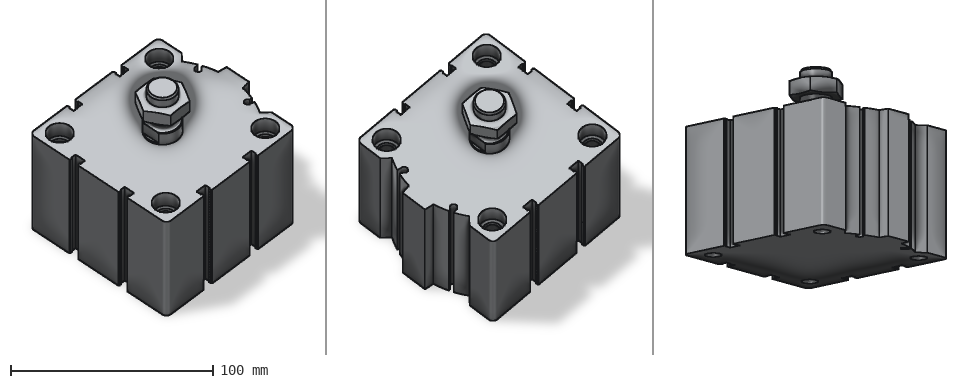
import cadquery as cq
import math

SIDE = 93.0
HALF = SIDE / 2
OVERALL_HEIGHT = 95.0
HOUSING_HEIGHT = 65.0
CORNER_RADIUS = 3.0
OVERALL_Y = 101.0

BULGE_RADIUS = 49.9
NOTCH_START_X = 30.5
TAB_TOP_WIDTH = 15.3
TAB_BASE_WIDTH = 16.8
TAB_TOP_Y = OVERALL_Y - HALF

SLOT_OFFSET = 16.7
SLOT_OPENING = 5.3
SLOT_WIDTH = 6.4
SLOT_DEPTH = 4.7
SLOT_EDGE_CHAMFER = 0.45
SLOT_LIP = 1.8
KEYHOLE_DIAMETER = 3.8
KEYHOLE_X = 16.9
KEYHOLE_Y = 43.6
KEYHOLE_NECK_WIDTH = 2.6
KEYHOLE_NECK_LENGTH = 8.1
KEYHOLE_TILT = 10.0

HOLE_PITCH = 72.0
HOLE_DIAMETER = 8.4
HOLE_CHAMFER = 0.8
COUNTERBORE_DIAMETER = 14.0
COUNTERBORE_DEPTH = 9.0

ROD_DIAMETER = 20.0
ROD_HEIGHT = 8.0
ROD_CHAMFER = 0.4
FLAT_WIDTH = 17.0
FLAT_BOTTOM = 1.0
NECK_DIAMETER = 13.9
NECK_BASE_FILLET = 0.7
NECK_TOP = 10.2
STUD_DIAMETER = 16.0
STUD_BOTTOM = 12.8
STUD_TOP = OVERALL_HEIGHT - HOUSING_HEIGHT
STUD_TOP_DIAMETER = 14.3
STUD_CHAMFER_HEIGHT = 1.2

NUT_WIDTH = 24.0
NUT_HEIGHT = 8.0
NUT_BOTTOM = 16.0
NUT_CHAMFER_ANGLE = 15.0
HALF_HEX_ANGLE = 30.0


def mirrored_in_x(shape):
    return shape.union(shape.mirror("YZ"))


def make_outline():
    """Square block with a rounded bulge and a tapered tab on its +Y side."""
    block = cq.Workplane("XY").rect(SIDE, SIDE).extrude(HOUSING_HEIGHT)
    block = block.edges("|Z").fillet(CORNER_RADIUS)

    half_sum = (NOTCH_START_X + HALF) / 2
    half_difference = (HALF - NOTCH_START_X) / 2
    along = math.sqrt(BULGE_RADIUS ** 2 / 2 - half_difference ** 2)
    notch_depth = half_sum - along
    notch_x = NOTCH_START_X - notch_depth
    notch_y = HALF - notch_depth

    clearance = (
        cq.Workplane("XY")
        .moveTo(-NOTCH_START_X, HALF)
        .lineTo(-notch_x, notch_y)
        .lineTo(notch_x, notch_y)
        .lineTo(NOTCH_START_X, HALF)
        .close()
        .extrude(HOUSING_HEIGHT)
    )
    bulge = (
        cq.Workplane("XY")
        .moveTo(-notch_x, notch_y)
        .threePointArc((0, BULGE_RADIUS), (notch_x, notch_y))
        .close()
        .extrude(HOUSING_HEIGHT)
    )
    tab_base_y = math.sqrt(BULGE_RADIUS ** 2 - (TAB_BASE_WIDTH / 2) ** 2)
    tab = (
        cq.Workplane("XY")
        .polyline([
            (-TAB_BASE_WIDTH / 2, tab_base_y),
            (-TAB_TOP_WIDTH / 2, TAB_TOP_Y),
            (TAB_TOP_WIDTH / 2, TAB_TOP_Y),
            (TAB_BASE_WIDTH / 2, tab_base_y),
        ])
        .close()
        .extrude(HOUSING_HEIGHT)
    )
    return block.cut(clearance).union(bulge).union(tab)


def make_t_slots():
    """Pair of T-slots along the -Y side."""
    opening = cq.Workplane("XY").box(
        SLOT_OPENING, SLOT_DEPTH, HOUSING_HEIGHT, centered=(True, False, False)
    )
    pocket = (
        cq.Workplane("XY")
        .box(SLOT_WIDTH, SLOT_DEPTH - SLOT_LIP, HOUSING_HEIGHT, centered=(True, False, False))
        .translate((0, SLOT_LIP, 0))
    )
    mouth_half = SLOT_OPENING / 2
    mouth = (
        cq.Workplane("XY")
        .polyline([
            (-mouth_half - SLOT_EDGE_CHAMFER, 0),
            (mouth_half + SLOT_EDGE_CHAMFER, 0),
            (mouth_half, SLOT_EDGE_CHAMFER),
            (-mouth_half, SLOT_EDGE_CHAMFER),
        ])
        .close()
        .extrude(HOUSING_HEIGHT)
    )
    slot = opening.union(pocket).union(mouth).translate((-SLOT_OFFSET, -HALF, 0))
    return mirrored_in_x(slot)


def make_keyhole_grooves():
    """Pair of round grooves in the bulge, each with a leaning neck tangent to its outer side."""
    radius = KEYHOLE_DIAMETER / 2
    round_groove = cq.Workplane("XY").circle(radius).extrude(HOUSING_HEIGHT)
    neck = (
        cq.Workplane("XY")
        .box(KEYHOLE_NECK_WIDTH, KEYHOLE_NECK_LENGTH, HOUSING_HEIGHT, centered=False)
        .translate((-radius, 0, 0))
        .rotate((0, 0, 0), (0, 0, 1), KEYHOLE_TILT)
    )
    groove = round_groove.union(neck).translate((-KEYHOLE_X, KEYHOLE_Y, 0))
    return mirrored_in_x(groove)


def make_mounting_holes():
    """Four through holes, each counterbored from the top with a chamfered mouth."""
    floor_z = HOUSING_HEIGHT - COUNTERBORE_DEPTH
    radius = HOLE_DIAMETER / 2
    bore_radius = COUNTERBORE_DIAMETER / 2
    profile = (
        cq.Workplane("XZ")
        .polyline([
            (0, 0),
            (radius, 0),
            (radius, floor_z - HOLE_CHAMFER),
            (radius + HOLE_CHAMFER, floor_z),
            (bore_radius, floor_z),
            (bore_radius, HOUSING_HEIGHT),
            (0, HOUSING_HEIGHT),
        ])
        .close()
    )
    hole = profile.revolve(360, (0, 0, 0), (0, 1, 0)).val()
    return (
        cq.Workplane("XY")
        .rect(HOLE_PITCH, HOLE_PITCH, forConstruction=True)
        .vertices()
        .eachpoint(lambda place: hole.moved(place), combine=True)
    )


def make_housing():
    body = make_outline()
    slots = make_t_slots()
    for turn in (-90, 0, 90):
        body = body.cut(slots.rotate((0, 0, 0), (0, 0, 1), turn))
    body = body.cut(make_keyhole_grooves())
    return body.cut(make_mounting_holes())


def make_rod():
    """Piston rod end with a necked stud, standing on the housing top face."""
    rod_radius = ROD_DIAMETER / 2
    neck_radius = NECK_DIAMETER / 2
    stud_radius = STUD_DIAMETER / 2

    profile = (
        cq.Workplane("XZ")
        .lineTo(rod_radius, 0)
        .lineTo(rod_radius, ROD_HEIGHT - ROD_CHAMFER)
        .lineTo(rod_radius - ROD_CHAMFER, ROD_HEIGHT)
        .lineTo(neck_radius + NECK_BASE_FILLET, ROD_HEIGHT)
        .radiusArc((neck_radius, ROD_HEIGHT + NECK_BASE_FILLET), NECK_BASE_FILLET)
        .lineTo(neck_radius, NECK_TOP)
        .lineTo(stud_radius, STUD_BOTTOM)
        .lineTo(stud_radius, STUD_TOP - STUD_CHAMFER_HEIGHT)
        .lineTo(STUD_TOP_DIAMETER / 2, STUD_TOP)
        .lineTo(0, STUD_TOP)
        .close()
    )
    rod = profile.revolve(360, (0, 0, 0), (0, 1, 0))

    flat_height = ROD_HEIGHT - FLAT_BOTTOM
    flat_band = (
        cq.Workplane("XY", origin=(0, 0, FLAT_BOTTOM))
        .rect(ROD_DIAMETER, ROD_DIAMETER)
        .rect(ROD_DIAMETER, FLAT_WIDTH)
        .extrude(flat_height)
    )
    return rod.cut(flat_band).translate((0, 0, HOUSING_HEIGHT))


def make_nut():
    """Hexagon nut with corners pointing to -Y and +Y, chamfered at both ends."""
    across_corners = NUT_WIDTH / math.cos(math.radians(HALF_HEX_ANGLE))
    flat_radius = NUT_WIDTH / 2
    corner_radius = across_corners / 2
    corner_drop = (corner_radius - flat_radius) * math.tan(math.radians(NUT_CHAMFER_ANGLE))
    hexagon = (
        cq.Workplane("XY")
        .polygon(6, across_corners)
        .extrude(NUT_HEIGHT)
        .rotate((0, 0, 0), (0, 0, 1), HALF_HEX_ANGLE)
    )
    chamfer_envelope = (
        cq.Workplane("XZ")
        .polyline([
            (0, 0),
            (flat_radius, 0),
            (corner_radius, corner_drop),
            (corner_radius, NUT_HEIGHT - corner_drop),
            (flat_radius, NUT_HEIGHT),
            (0, NUT_HEIGHT),
        ])
        .close()
        .revolve(360, (0, 0, 0), (0, 1, 0))
    )
    thread_hole = cq.Workplane("XY").circle(STUD_DIAMETER / 2).extrude(NUT_HEIGHT)
    nut = hexagon.intersect(chamfer_envelope).cut(thread_hole)
    return nut.translate((0, 0, HOUSING_HEIGHT + NUT_BOTTOM))


housing = make_housing()
rod = make_rod()
nut = make_nut()

result = cq.Compound.makeCompound([housing.val(), rod.val(), nut.val()])